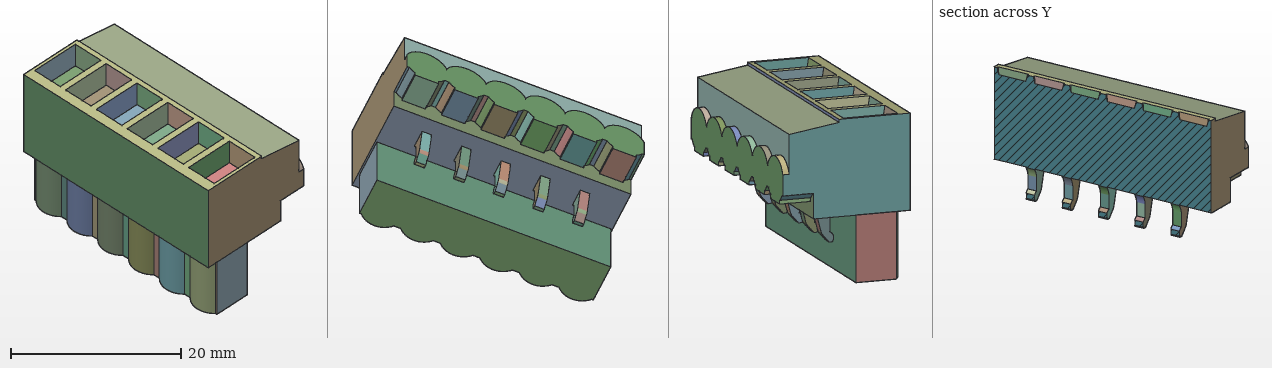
import cadquery as cq
import math


POLES = 6
LENGTH = 30.48
PITCH = LENGTH / POLES

BLOCK_BOTTOM = 8.23
BLOCK_TOP = 20.0
BLOCK_DEPTH = 15.2
FLAT_TOP_DEPTH = 8.93
ROOF_STEP = 0.37
ROOF_FALL = 1.28
LOWER_DEPTH = 12.13

LEDGE_DEPTH = 16.0
LEDGE_BOTTOM = 11.3
BOSS_RADIUS = 2.75
BOSS_CENTRE_Z = 12.85
BOSS_FOOT_WIDTH = 3.02
LEDGE_TOP = BOSS_CENTRE_Z + math.sqrt(BOSS_RADIUS**2 - (PITCH / 2) ** 2)

PLUG_LENGTH = 30.05
PLUG_BACK = 6.75
PLUG_GROOVE = 1.65
PLUG_FRONT = 0.75
SCALLOP_WIDTH = 4.2

ENTRY_WIDTH = 4.2
ENTRY_FRONT = 1.43
ENTRY_LENGTH = 6.8
ENTRY_DEPTH = 2.5
ENTRY_INSET = 0.67
ENTRY_CENTRE_Y = ENTRY_FRONT + ENTRY_LENGTH / 2
ENTRY_FLOOR = BLOCK_TOP - ENTRY_DEPTH

CLAMP_WIDTH = ENTRY_WIDTH - 2 * ENTRY_INSET
CLAMP_LENGTH = ENTRY_LENGTH - 2 * ENTRY_INSET
CLAMP_BOTTOM = BOSS_CENTRE_Z - BOSS_RADIUS

HOOK_WIDTH = 1.22
HOOK_ROOT_BACK = 10.25
HOOK_ROOT_FRONT = 7.95
HOOK_THROAT = 8.4
HOOK_TIP_BACK = 8.5
HOOK_TIP_FRONT = 8.1
HOOK_TIP_Z = 4.1

POLE_CENTRES = [(pole - (POLES - 1) / 2) * PITCH for pole in range(POLES)]
POLE_BORDERS = [x + PITCH / 2 for x in POLE_CENTRES[:-1]]


def box(x_centre, x_size, y_start, y_end, z_start, z_end):
    """Box placed by its X centre and its Y and Z limits."""
    size = (x_size, y_end - y_start, z_end - z_start)
    corner = (x_centre - x_size / 2, y_start, z_start)
    return cq.Workplane("XY").box(*size, centered=False).translate(corner)


def make_block():
    """Main block with its sloping roof and the ledge along its back."""
    profile = [
        (0, BLOCK_BOTTOM),
        (LOWER_DEPTH, BLOCK_BOTTOM),
        (LOWER_DEPTH, LEDGE_BOTTOM),
        (LEDGE_DEPTH, LEDGE_BOTTOM),
        (LEDGE_DEPTH, LEDGE_TOP),
        (BLOCK_DEPTH, LEDGE_TOP),
        (BLOCK_DEPTH, BLOCK_TOP - ROOF_FALL),
        (FLAT_TOP_DEPTH, BLOCK_TOP - ROOF_STEP),
        (FLAT_TOP_DEPTH, BLOCK_TOP),
        (0, BLOCK_TOP),
    ]
    return cq.Workplane("YZ").polyline(profile).close().extrude(LENGTH / 2, both=True)


def make_boss(x):
    """Round screw boss, cut off at the pole borders, on a square-sided foot."""
    boss_bottom = BOSS_CENTRE_Z - BOSS_RADIUS
    boss_top = BOSS_CENTRE_Z + BOSS_RADIUS
    barrel = (
        cq.Workplane("XZ", origin=(x, LOWER_DEPTH, BOSS_CENTRE_Z))
        .circle(BOSS_RADIUS)
        .extrude(LOWER_DEPTH - LEDGE_DEPTH)
    )
    pole_space = box(x, PITCH, LOWER_DEPTH, LEDGE_DEPTH, boss_bottom, boss_top)
    foot = box(x, BOSS_FOOT_WIDTH, LOWER_DEPTH, LEDGE_DEPTH, boss_bottom, BOSS_CENTRE_Z)
    return barrel.intersect(pole_space).union(foot)


def make_plug():
    """Plug with a flat back and one convex scallop per pole on the front."""
    half_length = PLUG_LENGTH / 2
    outline = cq.Workplane("XY").moveTo(-half_length, PLUG_BACK).lineTo(-half_length, PLUG_GROOVE)
    for x in POLE_CENTRES:
        outline = outline.lineTo(x - SCALLOP_WIDTH / 2, PLUG_GROOVE).threePointArc(
            (x, PLUG_FRONT), (x + SCALLOP_WIDTH / 2, PLUG_GROOVE)
        )
    outline = outline.lineTo(half_length, PLUG_GROOVE).lineTo(half_length, PLUG_BACK)
    return outline.close().extrude(BLOCK_BOTTOM)


def make_hook(x):
    """Latch hook that hangs from the block behind the plug."""
    root_back = (HOOK_ROOT_BACK, BLOCK_BOTTOM)
    root_front = (HOOK_ROOT_FRONT, BLOCK_BOTTOM)
    back_bend_start = (9.5, 5.43)
    back_bend_middle = (9.42, 5.18)
    back_bend_end = (9.27, 4.97)
    tip_back = (HOOK_TIP_BACK, HOOK_TIP_Z)
    tip_front = (HOOK_TIP_FRONT, HOOK_TIP_Z)
    nose = (7.92, 4.7)
    throat_bottom = (HOOK_THROAT, 5.33)
    throat_top = (HOOK_THROAT, 7.07)
    root_curve_middle = (8.3, 7.62)
    return (
        cq.Workplane("YZ", origin=(x, 0, 0))
        .moveTo(*root_back)
        .lineTo(*back_bend_start)
        .threePointArc(back_bend_middle, back_bend_end)
        .lineTo(*tip_back)
        .lineTo(*tip_front)
        .threePointArc(nose, throat_bottom)
        .lineTo(*throat_top)
        .threePointArc(root_curve_middle, root_front)
        .close()
        .extrude(HOOK_WIDTH / 2, both=True)
    )


def make_entry(x):
    """Space of a wire entry, narrowing from the top down to its floor."""
    return (
        cq.Workplane("XY", origin=(x, ENTRY_CENTRE_Y, BLOCK_TOP))
        .rect(ENTRY_WIDTH, ENTRY_LENGTH)
        .workplane(offset=-ENTRY_DEPTH)
        .rect(CLAMP_WIDTH, CLAMP_LENGTH)
        .loft(ruled=True)
    )


def make_clamp(x):
    """Wire clamp whose top is the floor of the wire entry."""
    clamp_front = ENTRY_FRONT + ENTRY_INSET
    return box(x, CLAMP_WIDTH, clamp_front, clamp_front + CLAMP_LENGTH, CLAMP_BOTTOM, ENTRY_FLOOR)


def make_housing():
    """Moulded housing with a wire entry and a clamp chamber for each pole."""
    housing = make_block().union(make_plug())
    for x in POLE_BORDERS:
        housing = housing.union(make_hook(x))
    for x in POLE_CENTRES:
        housing = housing.union(make_boss(x))
    for x in POLE_CENTRES:
        housing = housing.cut(make_entry(x)).cut(make_clamp(x))
    return housing


housing = make_housing()
clamps = [make_clamp(x) for x in POLE_CENTRES]

result = cq.Compound.makeCompound([housing.solids().val(), *[clamp.val() for clamp in clamps]])